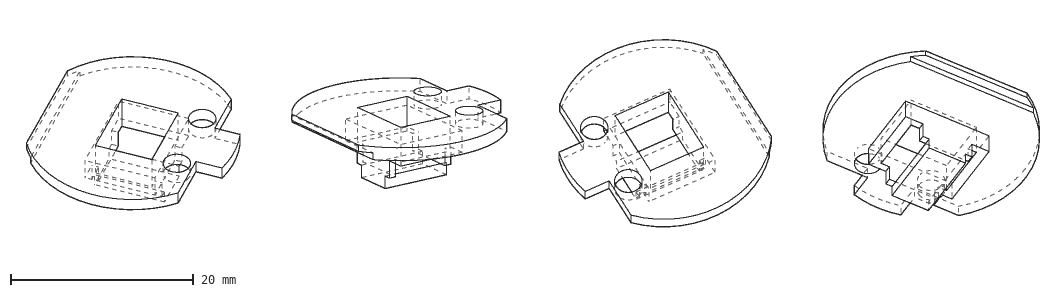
import cadquery as cq

disc_diameter = 23.71
disc_radius = disc_diameter / 2
overall_length = 21.84
plate_thickness = 1.5
flat_right_x = 8.47
flat_left_x = disc_radius - overall_length

step_width = 1.0
lip_thickness = 0.72

key_center_y = 0.215
tab_width = 5.93
pin_hole_diameter = 3.0
pin_hole_spacing = 7.93
pin_hole_x = 6.61

window_length = 6.6
window_width = 8.23
window_center_x = 0.53
end_wall = 0.8
collar_length = window_length + 2 * end_wall
collar_width = 10.52
collar_bottom_z = -4.0

leg_width = 6.17
leg_bottom_z = -6.0
bar_width = 4.58
bar_bottom_z = -7.44


def block(x_min, x_max, y_center, width, z_bottom, z_top):
    """Axis-aligned block centred on y_center."""
    length = x_max - x_min
    return (
        cq.Workplane("XY", origin=((x_min + x_max) / 2, y_center, z_bottom))
        .rect(length, width)
        .extrude(z_top - z_bottom)
    )


def make_plate():
    """Trimmed disc with its key tab and the step under the left edge."""
    disc = cq.Workplane("XY").workplane(offset=-plate_thickness).circle(disc_radius).extrude(plate_thickness)
    body = block(flat_left_x, flat_right_x, 0, disc_diameter, -plate_thickness, 0)
    tab = block(0, disc_radius, key_center_y, tab_width, -plate_thickness, 0)
    step = block(
        flat_left_x, flat_left_x + step_width, 0, disc_diameter, -plate_thickness, -lip_thickness
    )
    return disc.intersect(body.union(tab)).cut(step)


def make_clip():
    """Collar, legs and bottom bar, still solid inside."""
    x_min = window_center_x - collar_length / 2
    x_max = window_center_x + collar_length / 2
    collar = block(x_min, x_max, 0, collar_width, collar_bottom_z, -plate_thickness)
    legs = block(x_min, x_max, 0, leg_width, leg_bottom_z, collar_bottom_z)
    bar = block(x_min, x_max, 0, bar_width, bar_bottom_z, leg_bottom_z)
    return collar.union(legs).union(bar)


def make_window():
    """Opening from the plate's top face down to the bottom bar."""
    x_min = window_center_x - window_length / 2
    x_max = window_center_x + window_length / 2
    return block(x_min, x_max, 0, window_width, leg_bottom_z, 0)


def make_pin_holes():
    """Pair of through holes beside the key tab."""
    half_spacing = pin_hole_spacing / 2
    centers = [(pin_hole_x, key_center_y + side * half_spacing) for side in (-1, 1)]
    return (
        cq.Workplane("XY")
        .workplane(offset=-plate_thickness)
        .pushPoints(centers)
        .circle(pin_hole_diameter / 2)
        .extrude(plate_thickness)
    )


result = make_plate().union(make_clip()).cut(make_window()).cut(make_pin_holes())